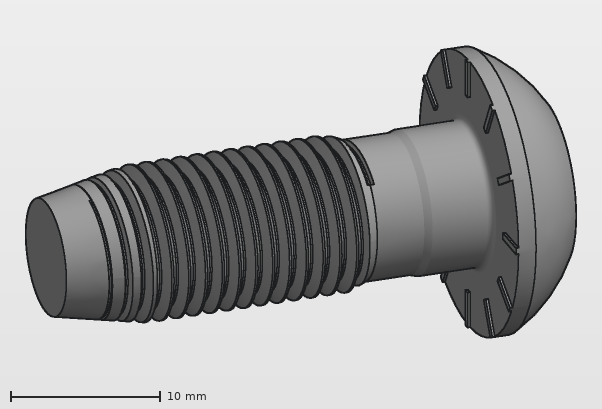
import cadquery as cq
import math


total_length = 35.7

head_diameter = 19.6
head_radius = head_diameter / 2
head_top_radius = 5.9
head_height = 5.55
rim_height = 1.25
dome_height = head_height - rim_height

rib_count = 12
rib_width = 0.45
rib_height = 0.18
rib_inner_radius = 7.2

upper_shank_radius = 5.0
lower_shank_diameter = 9.67
lower_shank_radius = lower_shank_diameter / 2
under_head_fillet = 0.43
upper_shank_end = -4.4
lower_shank_start = -4.93

crest_radius = 5.35
root_radius = 4.57
blank_start = -8.3
lead_in_length = 1.3
tip_radius = 4.05
tip_z = head_height - total_length
tip_taper_length = 6.43

full_turns = 16
full_turns_length = 19.17
pitch = full_turns_length / full_turns
groove_bottom_z = -27.85
runout_angle = 135.0
groove_turns = full_turns + runout_angle / 360
root_flat = 0.15
flank_angle = 30.0
cutter_overshoot = 0.07
cut_stretch_turns = 0.5
groove_start_angle = 180.0


def make_blank():
    """Head, shank and unthreaded tip as one body of revolution."""
    center_drop = (head_radius**2 - head_top_radius**2 - dome_height**2) / (2 * dome_height)
    sphere_radius = math.hypot(head_radius, center_drop)
    dome_mid_z = rim_height + dome_height / 2
    dome_mid_radius = math.sqrt(sphere_radius**2 - (center_drop + dome_height / 2) ** 2)
    fillet_mid = under_head_fillet * (1 - math.sqrt(0.5))

    return (
        cq.Workplane("XZ")
        .moveTo(0, head_height)
        .lineTo(head_top_radius, head_height)
        .threePointArc((dome_mid_radius, dome_mid_z), (head_radius, rim_height))
        .lineTo(head_radius, 0)
        .lineTo(upper_shank_radius + under_head_fillet, 0)
        .threePointArc(
            (upper_shank_radius + fillet_mid, -fillet_mid),
            (upper_shank_radius, -under_head_fillet),
        )
        .lineTo(upper_shank_radius, upper_shank_end)
        .lineTo(lower_shank_radius, lower_shank_start)
        .lineTo(lower_shank_radius, blank_start)
        .lineTo(crest_radius, blank_start - lead_in_length)
        .lineTo(crest_radius, tip_z + tip_taper_length)
        .lineTo(tip_radius, tip_z)
        .lineTo(0, tip_z)
        .close()
        .revolve(360, (0, 0, 0), (0, 1, 0))
    )


def make_ribs():
    """Radial ribs standing on the bearing face, their outer ends flush with the rim."""
    rib_center_radius = (rib_inner_radius + head_radius) / 2
    full_height = rim_height + rib_height
    rib_plane = cq.Workplane("XY").workplane(offset=-rib_height)
    rim_cylinder = rib_plane.circle(head_radius).extrude(full_height)
    return (
        rib_plane.polarArray(rib_center_radius, 0, 360, rib_count)
        .rect(head_radius - rib_inner_radius, rib_width)
        .extrude(full_height)
        .intersect(rim_cylinder)
    )


def make_groove_cutter(start_turn, end_turn):
    """Stretch of the right-hand V groove, with turns counted from the tip end on the -X side."""
    outer_radius = crest_radius + cutter_overshoot
    half_root = root_flat / 2
    half_mouth = half_root + (outer_radius - root_radius) * math.tan(math.radians(flank_angle))
    helix = cq.Wire.makeHelix(pitch, pitch * (end_turn - start_turn), root_radius)
    return (
        cq.Workplane("XZ")
        .moveTo(root_radius, -half_root)
        .lineTo(outer_radius, -half_mouth)
        .lineTo(outer_radius, half_mouth)
        .lineTo(root_radius, half_root)
        .close()
        .sweep(cq.Workplane(helix), isFrenet=True)
        .rotate((0, 0, 0), (0, 0, 1), groove_start_angle + 360 * start_turn)
        .translate((0, 0, groove_bottom_z + pitch * start_turn))
    )


def cut_thread(body):
    """Cut the groove in short stretches, which keeps each boolean simple and reliable."""
    for i in range(math.ceil(groove_turns / cut_stretch_turns)):
        start_turn = i * cut_stretch_turns
        end_turn = min(start_turn + cut_stretch_turns, groove_turns)
        body = body.cut(make_groove_cutter(start_turn, end_turn))
    return body


bolt = cut_thread(make_blank()).union(make_ribs())
result = bolt.rotate((0, 0, 0), (1, 0, 0), -90)